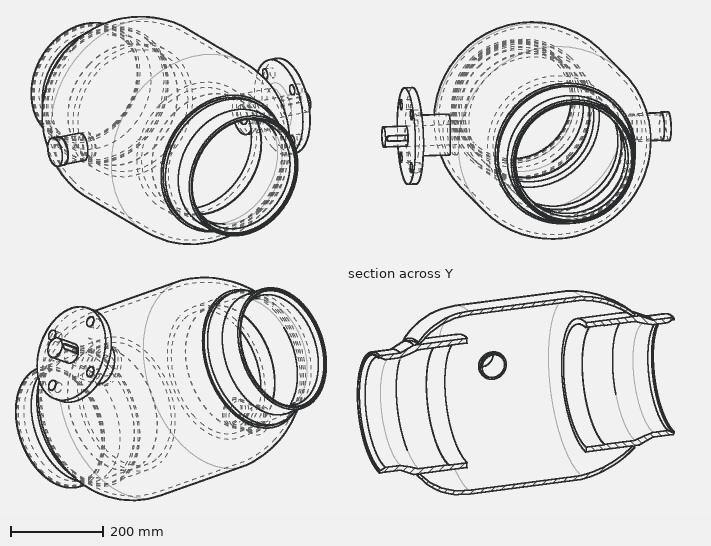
import cadquery as cq
overall_length = 685.0
half_length = overall_length / 2
stem_x = 5.0

shell_radius = 213.0
shell_wall = 10.0
barrel_start_x = -126.0
barrel_end_x = 134.5
shell_half_length = 251.0
shell_mouth_radius = 155.5
left_head_mid_x = -189.0
left_head_mid_radius = 196.0
right_head_radius = 145.0
shell_inner_radius = shell_radius - 2 * shell_wall

pipe_radius = 136.5
pipe_wall = 12.0
pipe_bore_radius = pipe_radius - pipe_wall
collar_radius = 150.5
collar_bore_radius = 137.5
taper_start = 50.0
taper_end = 81.0
bore_taper_end = 92.0
seat_start = 162.0
seat_radius = 138.5
pipe_length = 205.0
bevel_length = 2.3
bevel_height = 4.0
mouth_bore_radius = 130.5
mouth_land = 4.0
mouth_length = 15.0

neck_radius = 44.5
neck_fillet = 10.0
flange_radius = 105.0
flange_thickness = 18.0
flange_face_y = 302.0
flange_back_y = flange_face_y - flange_thickness
bolt_circle_radius = 82.5
bolt_hole_diameter = 22.0
bolt_count = 4
first_bolt_angle = 45.0

stem_radius = 22.0
stem_end_y = 352.0
key_width = 12.0
key_depth = 5.0
key_end_gap = 3.5

drain_radius = 30.15
drain_wall = 4.0
drain_end_y = -263.0
cap_radius = 31.5
cap_thickness = 15.0


def y_cylinder(radius, y_from, y_to):
    """Cylinder on the stem axis between two Y positions."""
    plane = cq.Workplane("XZ", origin=(stem_x, y_from, 0))
    return plane.circle(radius).extrude(y_from - y_to)


def x_cylinder(radius, length):
    """Cylinder on the flow axis, centred on the origin."""
    return cq.Workplane("YZ").circle(radius).extrude(length / 2, both=True)


def barrel(inset):
    """Solid barrel with two domed heads, its radii reduced by the inset."""
    radius = shell_radius - inset
    mouth_radius = shell_mouth_radius - inset
    left_head_mid = (left_head_mid_x, left_head_mid_radius - inset)
    outline = (
        cq.Workplane("XY")
        .moveTo(-shell_half_length, 0)
        .lineTo(-shell_half_length, mouth_radius)
        .threePointArc(left_head_mid, (barrel_start_x, radius))
        .lineTo(barrel_end_x, radius)
        .radiusArc((shell_half_length, mouth_radius), right_head_radius)
        .lineTo(shell_half_length, 0)
        .close()
    )
    return outline.revolve(360, (0, 0, 0), (1, 0, 0))


def make_shell():
    """Hollow barrel with openings for the end pipes, the neck and the drain."""
    shell = barrel(0).cut(barrel(shell_wall))
    shell = shell.cut(x_cylinder(collar_radius, overall_length))
    shell = shell.cut(y_cylinder(neck_radius, 0, flange_face_y))
    return shell.cut(y_cylinder(drain_radius, 0, drain_end_y))


def make_left_pipe():
    """Pipe with a bevelled free end that widens to a collar held in the shell."""
    end_x = -half_length
    outline = [
        (end_x, mouth_bore_radius),
        (end_x, pipe_radius - bevel_height),
        (end_x + bevel_length, pipe_radius),
        (end_x + taper_start, pipe_radius),
        (end_x + taper_end, collar_radius),
        (end_x + pipe_length, collar_radius),
        (end_x + pipe_length, seat_radius),
        (end_x + seat_start, seat_radius),
        (end_x + seat_start, collar_bore_radius),
        (end_x + bore_taper_end, collar_bore_radius),
        (end_x + taper_start, pipe_bore_radius),
        (end_x + mouth_length, pipe_bore_radius),
        (end_x + mouth_land, mouth_bore_radius),
    ]
    return cq.Workplane("XY").polyline(outline).close().revolve(360, (0, 0, 0), (1, 0, 0))


def make_neck():
    """Neck and flange in one piece, bored for the stem and drilled for the bolts."""
    fillet_start = (neck_radius, flange_back_y - neck_fillet)
    fillet_end = (neck_radius + neck_fillet, flange_back_y)
    neck = (
        cq.Workplane("XY", origin=(stem_x, 0, 0))
        .moveTo(stem_radius, shell_inner_radius)
        .lineTo(neck_radius, shell_inner_radius)
        .lineTo(*fillet_start)
        .radiusArc(fillet_end, neck_fillet)
        .lineTo(flange_radius, flange_back_y)
        .lineTo(flange_radius, flange_face_y)
        .lineTo(stem_radius, flange_face_y)
        .close()
        .revolve(360, (0, 0, 0), (0, 1, 0))
    )
    bolt_holes = (
        cq.Workplane("XZ", origin=(stem_x, flange_face_y, 0))
        .polarArray(bolt_circle_radius, first_bolt_angle, 360, bolt_count)
        .circle(bolt_hole_diameter / 2)
        .extrude(flange_thickness)
    )
    return neck.cut(bolt_holes)


def make_stem():
    """Stem with a round-ended keyway on its -X side, above the flange."""
    stem = y_cylinder(stem_radius, shell_inner_radius, stem_end_y)
    tip_y = stem_end_y - key_end_gap
    half_key = key_width / 2
    keyway = (
        cq.Workplane("YZ", origin=(stem_x - stem_radius, 0, 0))
        .moveTo(flange_face_y, -half_key)
        .lineTo(tip_y - half_key, -half_key)
        .threePointArc((tip_y, 0), (tip_y - half_key, half_key))
        .lineTo(flange_face_y, half_key)
        .close()
        .extrude(key_depth)
    )
    return stem.cut(keyway)


def make_drain():
    """Drain tube from inside the shell wall out to the cap."""
    tube = y_cylinder(drain_radius, -shell_inner_radius, drain_end_y)
    return tube.cut(y_cylinder(drain_radius - drain_wall, -shell_inner_radius, drain_end_y))


def make_cap():
    """Disc that closes the drain tube."""
    return y_cylinder(cap_radius, drain_end_y, drain_end_y - cap_thickness)


shell = make_shell()
left_pipe = make_left_pipe()
right_pipe = left_pipe.mirror("YZ")
neck = make_neck()
stem = make_stem()
drain = make_drain()
cap = make_cap()

result = cq.Compound.makeCompound([
    shell.val(),
    left_pipe.val(),
    right_pipe.val(),
    neck.val(),
    stem.val(),
    drain.val(),
    cap.val(),
])